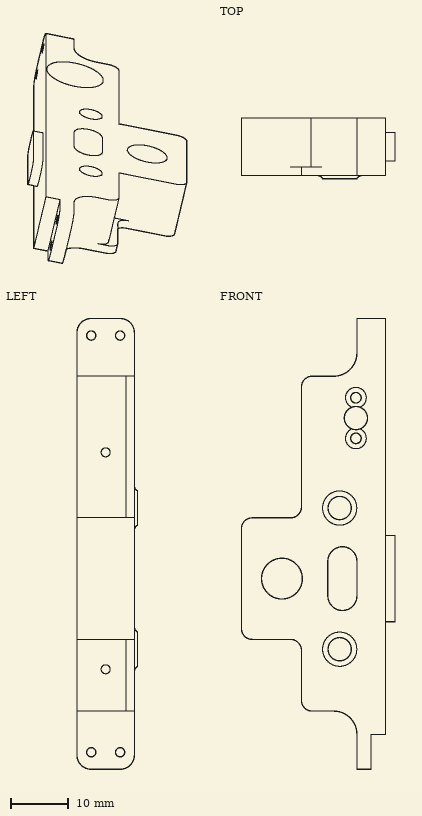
import cadquery as cq
import math

LENGTH = 78.0
THICKNESS = 10.0
BACK_X = 24.95
CENTER_Z = 33.0
CORNER_RADIUS = 1.9
front_y = -THICKNESS / 2
back_y = THICKNESS / 2

BLOCK_HEIGHT = 21.05
BODY_LEFT_X = 10.4
BODY_BOTTOM_Z = 10.1
BODY_TOP_Z = 68.0
TONGUE_LEFT_X = 20.0
TONGUE_BLEND_RADIUS = 4.0
TONGUE_CORNER_RADIUS = 2.5
NOTCH_DEPTH = 2.5
NOTCH_HEIGHT = 6.0
block_bottom_z = CENTER_Z - BLOCK_HEIGHT / 2
block_top_z = CENTER_Z + BLOCK_HEIGHT / 2

FLANGE_THICKNESS = 1.5
SETBACK = 1.6
setback_x = BODY_LEFT_X + SETBACK

TAB_PROJECTION = 1.6
TAB_LENGTH = 15.0
TAB_WIDTH = 5.0
TAB_CORNER_RADIUS = 1.95

BLOCK_HOLE_DIAMETER = 7.0
BLOCK_HOLE_X = 7.0
SLOT_X = 17.5
SLOT_LENGTH = 11.0
SLOT_WIDTH = 5.0
BOSS_X = 17.0
BOSS_SPACING = 24.4
BOSS_BASE_DIAMETER = 7.7
BOSS_BLEND_RADIUS = 1.0
BOSS_HEIGHT = 0.55
ROUND_HOLE_DIAMETER = 4.0
SCREW_GROUP_X = 19.8
SCREW_GROUP_Z = 60.8
SCREW_OFFSET = 3.5
SCREW_HOLE_DIAMETER = 1.8
COUNTERSINK_DIAMETER = 3.6
COUNTERSINK_ANGLE = 90.0
REAR_BORE_DIAMETER = 10.0
REAR_BORE_FLOOR = 1.0

SMALL_HOLE_DIAMETER = 1.55
TONGUE_HOLE_SPACING = 5.0
TONGUE_HOLE_END_DISTANCE = 3.0
PILOT_DEPTH = 3.9
PILOT_TIP_ANGLE = 118.0
PILOT_HEIGHTS = (17.3, 54.8)


def extrude_y(outline, start_y, end_y):
    """Extrude an XZ outline between two Y positions."""
    return outline.extrude(start_y - end_y).translate((0, start_y, 0))


def cylinder_y(diameter, x, z):
    outline = cq.Workplane("XZ").center(x, z).circle(diameter / 2)
    return extrude_y(outline, front_y - BOSS_HEIGHT, back_y)


def cylinder_x(diameter, start_x, length, y, z):
    return cq.Workplane("YZ", origin=(start_x, y, z)).circle(diameter / 2).extrude(length)


def round_edges(solid, places, radius):
    """Round the Y-direction edges nearest to the given XZ places."""
    for x, z in places:
        nearest = cq.selectors.NearestToPointSelector((x, solid.val().BoundingBox().center.y, z))
        edges = solid.edges("|Y").edges(nearest)
        solid = edges.fillet(radius)
    return solid


def stepped_profile(body_left_x, start_y, end_y):
    """Stepped outline without the block, with rounded body corners and tongue blends."""
    outline = cq.Workplane("XZ").polyline([
        (body_left_x, BODY_BOTTOM_Z),
        (TONGUE_LEFT_X, BODY_BOTTOM_Z),
        (TONGUE_LEFT_X, 0),
        (BACK_X - NOTCH_DEPTH, 0),
        (BACK_X - NOTCH_DEPTH, NOTCH_HEIGHT),
        (BACK_X, NOTCH_HEIGHT),
        (BACK_X, LENGTH),
        (TONGUE_LEFT_X, LENGTH),
        (TONGUE_LEFT_X, BODY_TOP_Z),
        (body_left_x, BODY_TOP_Z),
    ]).close()
    body = extrude_y(outline, start_y, end_y)
    levels = (BODY_BOTTOM_Z, BODY_TOP_Z)
    body = round_edges(body, [(TONGUE_LEFT_X, z) for z in levels], TONGUE_BLEND_RADIUS)
    return round_edges(body, [(body_left_x, z) for z in levels], CORNER_RADIUS)


def block(start_y, end_y):
    outline = cq.Workplane("XZ").moveTo(0, block_bottom_z).lineTo(BOSS_X, block_bottom_z)
    outline = outline.lineTo(BOSS_X, block_top_z).lineTo(0, block_top_z).close()
    solid = extrude_y(outline, start_y, end_y)
    return solid.edges("|Y and <X").fillet(CORNER_RADIUS)


def body():
    flange_back_y = front_y + FLANGE_THICKNESS
    flange = stepped_profile(BODY_LEFT_X, front_y, flange_back_y).union(block(front_y, flange_back_y))
    inner_corners = [(BODY_LEFT_X, z) for z in (block_bottom_z, block_top_z)]
    flange = round_edges(flange, inner_corners, CORNER_RADIUS)
    rear = stepped_profile(setback_x, flange_back_y, back_y).union(block(flange_back_y, back_y))
    return flange.union(rear)


def tongue_envelope():
    """Rounded YZ outline that trims the four tongue corners."""
    return (
        cq.Workplane("YZ")
        .center(0, LENGTH / 2)
        .rect(THICKNESS, LENGTH)
        .extrude(BACK_X)
        .edges("|X")
        .fillet(TONGUE_CORNER_RADIUS)
    )


def tab():
    return (
        cq.Workplane("YZ", origin=(BACK_X, 0, CENTER_Z))
        .rect(TAB_WIDTH, TAB_LENGTH)
        .extrude(TAB_PROJECTION)
        .edges("|X")
        .fillet(TAB_CORNER_RADIUS)
    )


def boss(x, z):
    """Low round boss whose side is a concave arc, tangent to the front face at its base."""
    base_radius = BOSS_BASE_DIAMETER / 2
    run_in = math.sqrt(BOSS_BLEND_RADIUS**2 - (BOSS_BLEND_RADIUS - BOSS_HEIGHT)**2)
    half_sweep = math.acos(1 - BOSS_HEIGHT / BOSS_BLEND_RADIUS) / 2
    arc_middle = (
        base_radius - BOSS_BLEND_RADIUS * math.sin(half_sweep),
        -BOSS_BLEND_RADIUS * (1 - math.cos(half_sweep)),
    )
    section = cq.Workplane("XY").lineTo(base_radius, 0)
    section = section.threePointArc(arc_middle, (base_radius - run_in, -BOSS_HEIGHT))
    section = section.lineTo(0, -BOSS_HEIGHT).close()
    return section.revolve(360, (0, 0), (0, 1)).translate((x, front_y, z))


def countersunk_hole(x, z):
    radial_step = (COUNTERSINK_DIAMETER - SCREW_HOLE_DIAMETER) / 2
    depth = radial_step / math.tan(math.radians(COUNTERSINK_ANGLE / 2))
    sink = cq.Workplane(cq.Solid.makeCone(
        COUNTERSINK_DIAMETER / 2, SCREW_HOLE_DIAMETER / 2, depth,
        pnt=cq.Vector(x, front_y, z), dir=cq.Vector(0, 1, 0),
    ))
    return cylinder_y(SCREW_HOLE_DIAMETER, x, z).union(sink)


def pilot_hole(z):
    """Blind hole with a drill-point bottom in the set-back left face."""
    radius = SMALL_HOLE_DIAMETER / 2
    tip_length = radius / math.tan(math.radians(PILOT_TIP_ANGLE / 2))
    tip = cq.Workplane(cq.Solid.makeCone(
        radius, 0, tip_length,
        pnt=cq.Vector(setback_x + PILOT_DEPTH, 0, z), dir=cq.Vector(1, 0, 0),
    ))
    return cylinder_x(SMALL_HOLE_DIAMETER, setback_x, PILOT_DEPTH, 0, z).union(tip)


result = body().intersect(tongue_envelope()).union(tab())

for side in (-1, 1):
    boss_z = CENTER_Z + side * BOSS_SPACING / 2
    result = result.union(boss(BOSS_X, boss_z)).cut(cylinder_y(ROUND_HOLE_DIAMETER, BOSS_X, boss_z))

result = result.cut(cylinder_y(BLOCK_HOLE_DIAMETER, BLOCK_HOLE_X, CENTER_Z))
slot = cq.Workplane("XZ").center(SLOT_X, CENTER_Z).slot2D(SLOT_LENGTH, SLOT_WIDTH, 90)
result = result.cut(extrude_y(slot, front_y, back_y))

result = result.cut(cylinder_y(ROUND_HOLE_DIAMETER, SCREW_GROUP_X, SCREW_GROUP_Z))
for side in (-1, 1):
    result = result.cut(countersunk_hole(SCREW_GROUP_X, SCREW_GROUP_Z + side * SCREW_OFFSET))

rear_bore = cq.Workplane("XZ").center(SCREW_GROUP_X, SCREW_GROUP_Z).circle(REAR_BORE_DIAMETER / 2)
result = result.cut(extrude_y(rear_bore, front_y + REAR_BORE_FLOOR, back_y))

for z in (TONGUE_HOLE_END_DISTANCE, LENGTH - TONGUE_HOLE_END_DISTANCE):
    for side in (-1, 1):
        y = side * TONGUE_HOLE_SPACING / 2
        result = result.cut(cylinder_x(SMALL_HOLE_DIAMETER, TONGUE_LEFT_X, BACK_X - TONGUE_LEFT_X, y, z))

for z in PILOT_HEIGHTS:
    result = result.cut(pilot_hole(z))